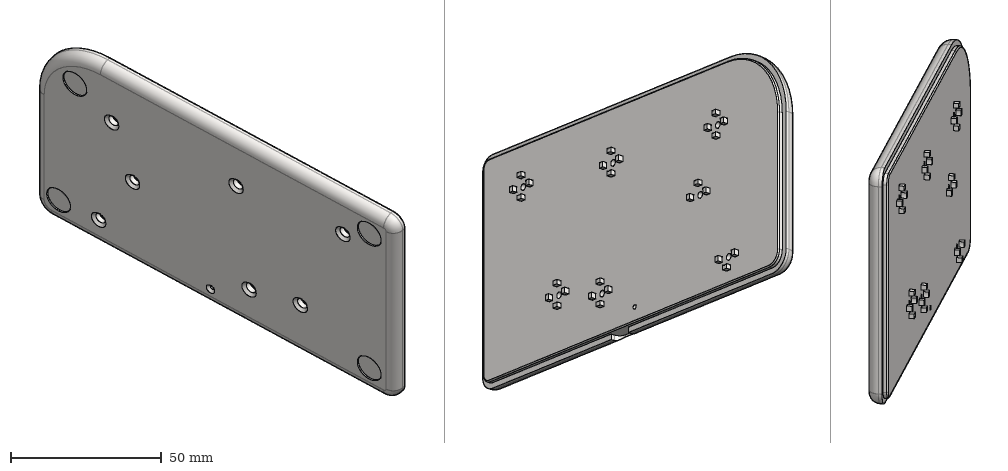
import cadquery as cq
import math

length = 151.0
height = 83.4
front_round = 4.0
wall_height = 1.2
lip_height = 1.7
lip_inset = 2.0
lip_chamfer = 0.5
ledge_y = front_round + wall_height
back_y = ledge_y + lip_height

top_left_radius = 27.5
bottom_left_radius = 7.0
right_radius = 5.0

screw_through_diameter = 2.3
countersink_diameter = 6.0
bore_diameter = 4.0
bore_floor_y = 3.0
pin_reach = 4.8
pin_clearance_diameter = 6.6
pin_width = 2.0
pin_height = 1.8
RIGHT, UP, LEFT, DOWN = 0, 90, 180, 270
ALL_SIDES = (RIGHT, UP, LEFT, DOWN)
screws = [
    (32.2, 60.0, ALL_SIDES),
    (41.0, 37.6, (RIGHT, UP, LEFT)),
    (84.3, 61.8, ALL_SIDES),
    (129.0, 66.3, ALL_SIDES),
    (26.7, 11.3, (RIGHT, LEFT, DOWN)),
    (89.7, 16.8, ALL_SIDES),
    (111.2, 22.5, ALL_SIDES),
]

reset_position = (73.5, 7.3)
reset_mouth_diameter = 3.5
reset_through_diameter = 1.5

foot_diameter = 10.0
foot_depth = 0.6
foot_positions = [(16.8, 68.7), (140.0, 73.1), (10.0, 10.4), (140.0, 10.4)]

notch_center_x = 82.8
notch_width = 8.5
notch_front_y = 1.2
notch_corner = 2.4


def outline_plate(inset, y_start, thickness):
    """Plate with the outline moved inwards by inset, growing towards +Y."""
    left, right = inset, length - inset
    bottom, top = inset, height - inset
    r_tl = top_left_radius - inset
    r_bl = bottom_left_radius - inset
    r_r = right_radius - inset
    diagonal = 1 - math.sqrt(0.5)
    return (
        cq.Workplane("XZ", origin=(0, y_start, 0))
        .moveTo(left + r_bl, bottom)
        .lineTo(right - r_r, bottom)
        .threePointArc((right - r_r * diagonal, bottom + r_r * diagonal), (right, bottom + r_r))
        .lineTo(right, top - r_r)
        .threePointArc((right - r_r * diagonal, top - r_r * diagonal), (right - r_r, top))
        .lineTo(left + r_tl, top)
        .threePointArc((left + r_tl * diagonal, top - r_tl * diagonal), (left, top - r_tl))
        .lineTo(left, bottom + r_bl)
        .threePointArc((left + r_bl * diagonal, bottom + r_bl * diagonal), (left + r_bl, bottom))
        .close()
        .extrude(-thickness)
    )


def cylinder(x, z, diameter, y_start, depth):
    """Round bar along +Y."""
    return cq.Workplane("XZ", origin=(x, y_start, z)).circle(diameter / 2).extrude(-depth)


def cone(x, z, mouth_diameter, floor_diameter):
    """45 degree cone narrowing from the front face."""
    depth = (mouth_diameter - floor_diameter) / 2
    solid = cq.Solid.makeCone(
        mouth_diameter / 2, floor_diameter / 2, depth, cq.Vector(x, 0, z), cq.Vector(0, 1, 0)
    )
    return cq.Workplane(solid)


def cut_screw_hole(plate, x, z):
    """Countersink, screw head bore and through hole."""
    plate = plate.cut(cone(x, z, countersink_diameter, bore_diameter))
    plate = plate.cut(cylinder(x, z, bore_diameter, 0, bore_floor_y))
    return plate.cut(cylinder(x, z, screw_through_diameter, 0, back_y))


def pins_around(x, z, sides):
    """Cross arms on the back of the plate, hollowed by a round clearance around the screw axis."""
    arms = cq.Workplane("XZ")
    for side in sides:
        arm = (
            cq.Workplane("XZ", origin=(x, back_y, z))
            .center(pin_reach / 2, 0)
            .rect(pin_reach, pin_width)
            .extrude(-pin_height)
            .rotate((x, 0, z), (x, -1, z), side)
        )
        arms = arms.add(arm)
    return arms.combine().cut(cylinder(x, z, pin_clearance_diameter, back_y, pin_height))


def cable_notch():
    """Channel with rounded front corners, cut through the ledge up to the lip."""
    return (
        cq.Workplane("XY")
        .center(notch_center_x, (notch_front_y + ledge_y) / 2)
        .rect(notch_width, ledge_y - notch_front_y)
        .extrude(lip_inset)
        .edges("|Z and <Y")
        .fillet(notch_corner)
    )


body = outline_plate(0, 0, ledge_y).faces("<Y").edges().fillet(front_round)
lip = outline_plate(lip_inset, ledge_y, lip_height).faces(">Y").chamfer(lip_chamfer)
result = body.union(lip)

for x, z, sides in screws:
    result = cut_screw_hole(result, x, z)
    result = result.union(pins_around(x, z, sides))

result = result.cut(cone(*reset_position, reset_mouth_diameter, reset_through_diameter))
result = result.cut(cylinder(*reset_position, reset_through_diameter, 0, back_y))

for x, z in foot_positions:
    result = result.cut(cylinder(x, z, foot_diameter, 0, foot_depth))

result = result.cut(cable_notch())